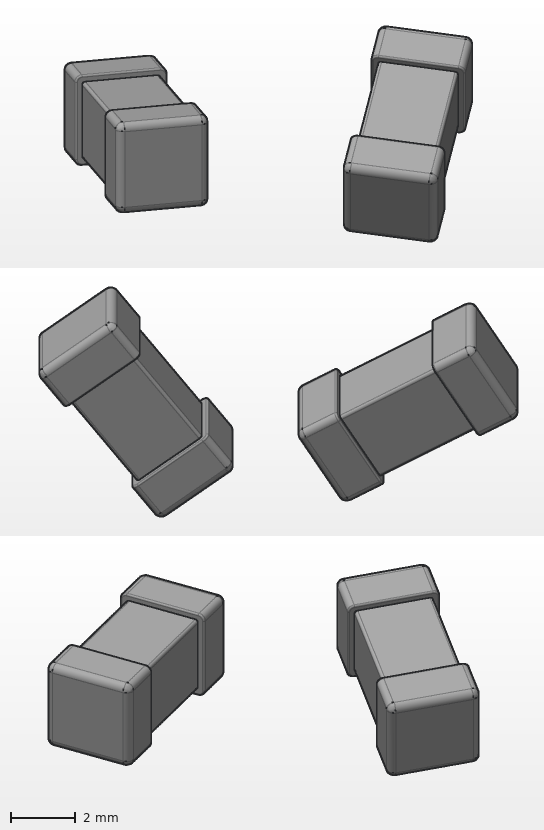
import cadquery as cq

total_length = 6.3
cap_side = 2.94
cap_length = 1.45
body_side = 2.5

cap_end_radius = 0.24
cap_long_edge_radius = 0.22
cap_inner_radius = 0.06
body_edge_radius = 0.1


def make_body():
    """Central bar, rounded along its four long edges and running into both caps."""
    body_length = total_length - cap_length
    return cq.Workplane("XY").box(body_length, body_side, body_side).edges("|X").fillet(body_edge_radius)


def make_left_cap():
    """End cap on -X: outer and long edges well rounded, the rim facing the body lightly rounded."""
    cap_center_x = (cap_length - total_length) / 2
    cap = cq.Workplane("XY").box(cap_length, cap_side, cap_side).translate((cap_center_x, 0, 0))
    cap = cap.faces("<X").edges().fillet(cap_end_radius)
    cap = cap.edges("|X").fillet(cap_long_edge_radius)
    return cap.faces(">X").edges().fillet(cap_inner_radius)


left_cap = make_left_cap()
right_cap = left_cap.mirror("YZ")
result = make_body().union(left_cap).union(right_cap)